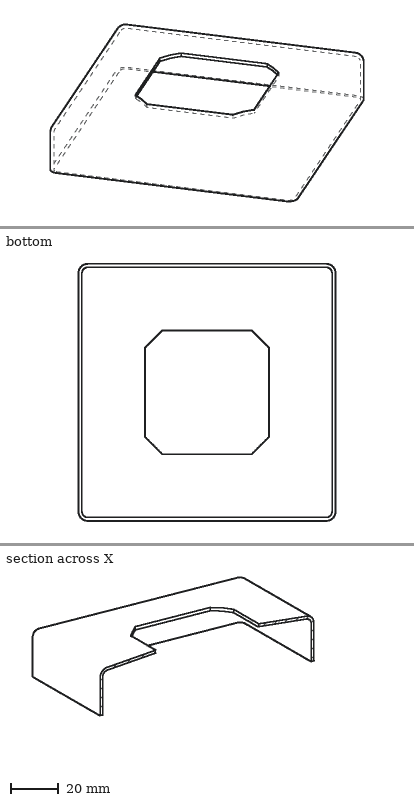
import cadquery as cq
import math

side = 108.0
height = 23.8

wall = 1.5
corner_radius = 4.0
roof_angle = 5.0

opening = 51.8
opening_chamfer = 7.1

roof_slope = math.tan(math.radians(roof_angle))
ridge_end = (opening - opening_chamfer) / 2
eave_height = height - (side / 2 - ridge_end) * roof_slope


def hipped_block(width, wall_height, radius):
    """Square block under a four-sided sloping roof, with every edge but the base rounded."""
    apex_height = wall_height + width / 2 * roof_slope
    profile = (
        cq.Workplane("XZ")
        .polyline([
            (-width / 2, 0),
            (width / 2, 0),
            (width / 2, wall_height),
            (0, apex_height),
            (-width / 2, wall_height),
        ])
        .close()
        .extrude(width / 2, both=True)
    )
    block = profile.intersect(profile.rotate((0, 0, 0), (0, 0, 1), 90))
    return block.edges("not <Z").fillet(radius)


outer = hipped_block(side, eave_height, corner_radius)

cavity_side = side - 2 * wall
roof_drop = wall / math.cos(math.radians(roof_angle))
cavity_eave = eave_height + wall * roof_slope - roof_drop
cavity = hipped_block(cavity_side, cavity_eave, corner_radius - wall)

opening_cut = (
    cq.Workplane("XY")
    .rect(opening, opening)
    .extrude(2 * height)
    .edges("|Z")
    .chamfer(opening_chamfer)
)

result = outer.cut(cavity).cut(opening_cut)